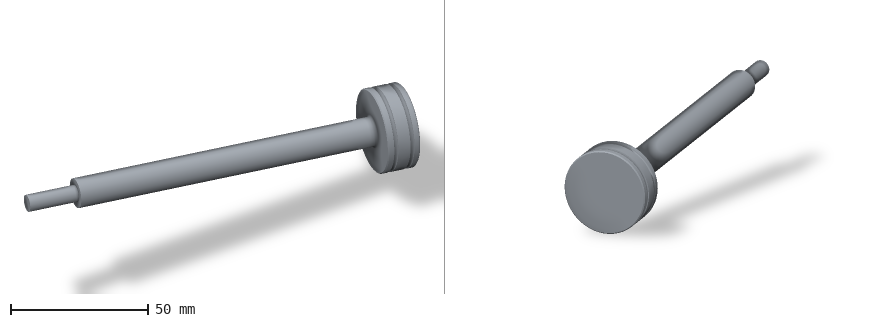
import cadquery as cq

HEAD_DIAMETER = 31.75
ROD_DIAMETER = 11.11
PIN_DIAMETER = 6.35

END_LAND = 2.38
MIDDLE_LAND = 2 * END_LAND
GROOVE_RADIUS = 0.794
GROOVE_WIDTH = 2 * GROOVE_RADIUS
HEAD_THICKNESS = 2 * END_LAND + MIDDLE_LAND + 2 * GROOVE_WIDTH

TOTAL_LENGTH = 148.07
PIN_LENGTH = 19.05
ROD_LENGTH = TOTAL_LENGTH - HEAD_THICKNESS - PIN_LENGTH

RIM_CHAMFER = 0.4
ROOT_FILLET = 0.794
TILT_ANGLE = 7.655


def cylinder(diameter, start, length):
    """Cylinder along -Y whose first face lies `start` from the back of the head."""
    plane = cq.Workplane("XZ", origin=(0, -start, 0))
    return plane.circle(diameter / 2).extrude(length)


def make_head():
    """Disc with both rims chamfered and two half-round grooves round its edge."""
    head = cylinder(HEAD_DIAMETER, 0, HEAD_THICKNESS).edges().chamfer(RIM_CHAMFER)
    groove_offset = END_LAND + GROOVE_RADIUS
    for groove_center in (groove_offset, HEAD_THICKNESS - groove_offset):
        head = head.cut(make_groove_ring(groove_center))
    return head


def make_groove_ring(distance):
    """Ring of round section, centred on the head's edge at `distance` from its back."""
    ring = cq.Solid.makeTorus(
        HEAD_DIAMETER / 2,
        GROOVE_RADIUS,
        cq.Vector(0, -distance, 0),
        cq.Vector(0, 1, 0),
    )
    return cq.Workplane(obj=ring)


def make_piston():
    """Head and rod joined with a root fillet, then the pin on the end of the rod."""
    rod = cylinder(ROD_DIAMETER, HEAD_THICKNESS, ROD_LENGTH)
    body = make_head().union(rod)
    root_center = (0, -HEAD_THICKNESS, 0)
    body = body.edges(cq.NearestToPointSelector(root_center)).fillet(ROOT_FILLET)
    pin = cylinder(PIN_DIAMETER, HEAD_THICKNESS + ROD_LENGTH, PIN_LENGTH)
    return body.union(pin)


result = make_piston().rotate((0, 0, 0), (1, 0, 0), -TILT_ANGLE)